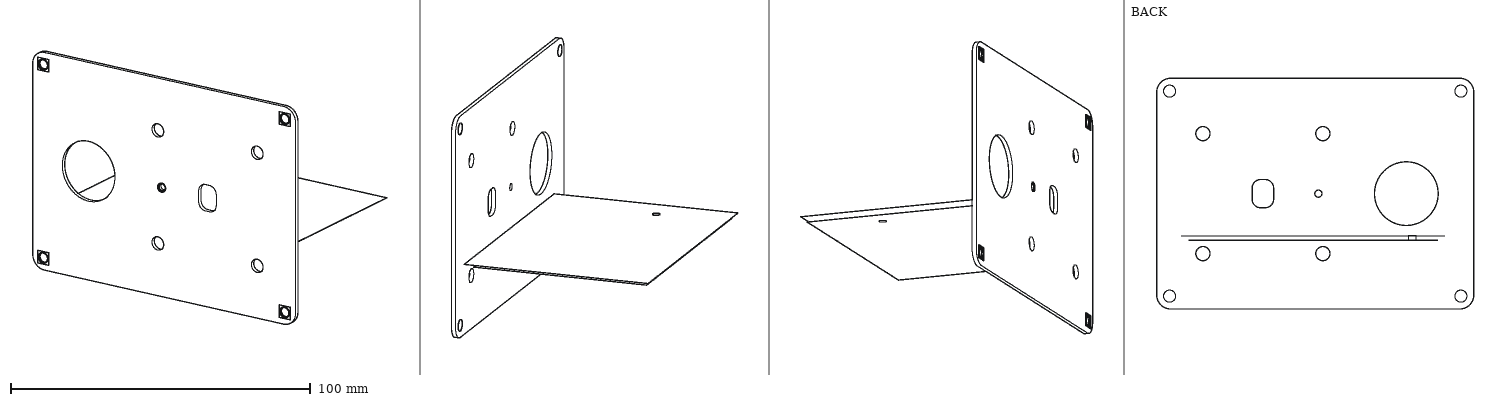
import cadquery as cq

panel_width = 105.8
panel_height = 77.0
panel_thickness = 1.5
corner_radius = 4.8
total_depth = 67.0
pad_height = 0.2
front_y = -total_depth / 2 + pad_height
back_y = front_y + panel_thickness

pad_size = 4.4
pad_inset = 4.3
recess_radius = 1.6
recess_rim_radius = 1.9
recess_depth = 0.6
stub_radius = 2.0
stub_height = 0.16

large_hole_x = -30.4
large_hole_radius = 10.6
mount_spacing = 40.0
mount_center_x = 17.5
mount_hole_radius = 2.3
small_hole_x = -1.1
small_hole_radius = 1.2
small_hole_rim_radius = 1.6
small_rim_depth = 0.4
window_width = 7.1
window_height = 9.3
window_corner_radius = 2.8

sheet_thickness = 0.1
sheet_left = -43.2
sheet_right = 44.5
sheet_back = total_depth / 2
upper_sheet_z = -14.1
sheet_pitch = 1.4
lower_back_inset = 1.4
lower_front_gap = 2.4
lower_side_inset = 2.4
post_x = -32.4
post_y = 8.4
post_radius = 1.3
post_projection = 0.05


def box(x_range, y_range, z_range):
    """Box between the given pairs of limits."""
    size = [high - low for low, high in (x_range, y_range, z_range)]
    corner = (x_range[0], y_range[0], z_range[0])
    return cq.Workplane("XY").box(*size, centered=False).translate(corner)


def cylinder_y(x, z, radius, start_y, end_y):
    """Cylinder along Y from start_y back to end_y."""
    return cq.Workplane("XZ", origin=(x, start_y, z)).circle(radius).extrude(start_y - end_y)


def through_hole(x, z, radius):
    return cylinder_y(x, z, radius, front_y, back_y)


def make_panel():
    panel = box(
        (-panel_width / 2, panel_width / 2),
        (front_y, back_y),
        (-panel_height / 2, panel_height / 2),
    ).edges("|Y").fillet(corner_radius)

    panel = panel.cut(through_hole(large_hole_x, 0, large_hole_radius))
    for x_side in (-1, 1):
        for z_side in (-1, 1):
            x = mount_center_x + x_side * mount_spacing / 2
            z = z_side * mount_spacing / 2
            panel = panel.cut(through_hole(x, z, mount_hole_radius))

    panel = panel.cut(through_hole(small_hole_x, 0, small_hole_radius))
    small_rim = cylinder_y(small_hole_x, 0, small_hole_rim_radius, front_y, front_y + small_rim_depth)
    panel = panel.cut(small_rim)

    window = box(
        (mount_center_x - window_width / 2, mount_center_x + window_width / 2),
        (front_y, back_y),
        (-window_height / 2, window_height / 2),
    ).edges("|Y").fillet(window_corner_radius)
    return panel.cut(window)


def add_corner_pads(panel):
    pad_front = front_y - pad_height
    for x_side in (-1, 1):
        for z_side in (-1, 1):
            x = x_side * (panel_width / 2 - pad_inset)
            z = z_side * (panel_height / 2 - pad_inset)
            pad = box(
                (x - pad_size / 2, x + pad_size / 2),
                (pad_front, front_y),
                (z - pad_size / 2, z + pad_size / 2),
            )
            rim = cylinder_y(x, z, recess_rim_radius, pad_front, front_y)
            recess = cylinder_y(x, z, recess_radius, pad_front, pad_front + recess_depth)
            stub = cylinder_y(x, z, stub_radius, back_y, back_y + stub_height)
            panel = panel.union(pad).union(stub).cut(rim).cut(recess)
    return panel


def make_sheet(left, right, front, back, top_z):
    return box((left, right), (front, back), (top_z - sheet_thickness, top_z))


def make_post(bottom_z, top_z):
    base = cq.Workplane("XY", origin=(post_x, post_y, bottom_z))
    return base.circle(post_radius).extrude(top_z - bottom_z)


lower_sheet_z = upper_sheet_z - sheet_pitch
upper_sheet = make_sheet(sheet_left, sheet_right, back_y, sheet_back, upper_sheet_z)
lower_sheet = make_sheet(
    sheet_left + lower_side_inset,
    sheet_right - lower_side_inset,
    back_y + lower_front_gap,
    sheet_back - lower_back_inset,
    lower_sheet_z,
)
post = make_post(lower_sheet_z - sheet_thickness, upper_sheet_z + post_projection)

result = add_corner_pads(make_panel()).union(upper_sheet).union(lower_sheet).union(post)